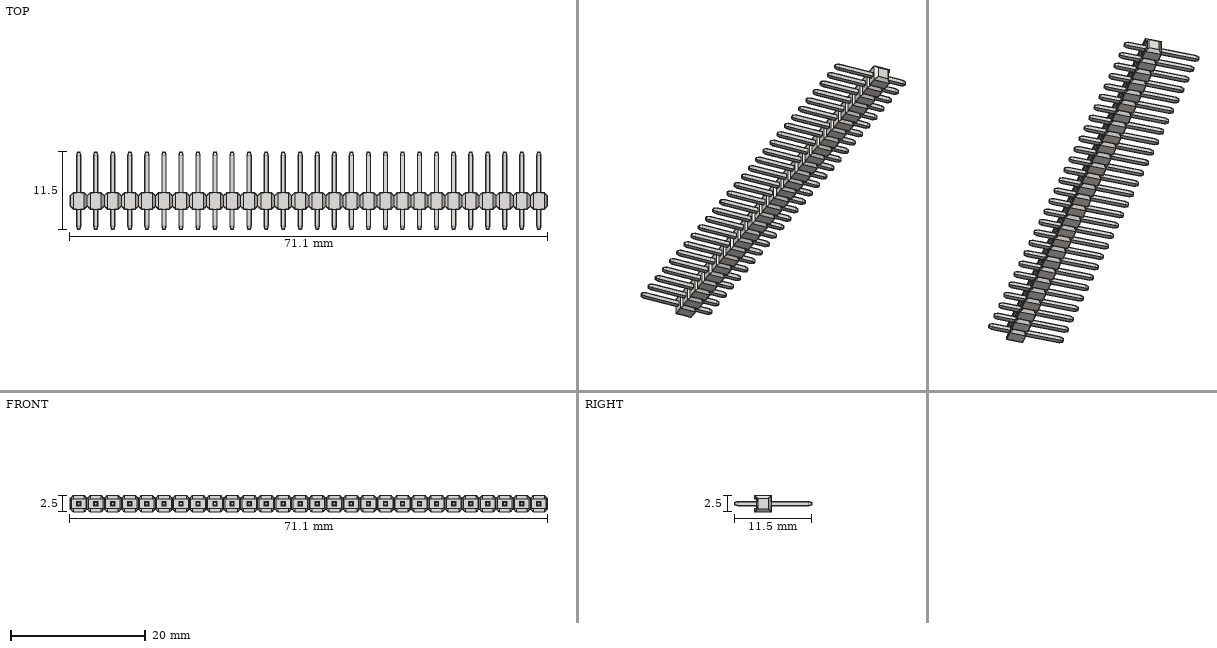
import cadquery as cq

pin_count = 28
row_length = 71.1
pitch = row_length / pin_count

body_height = 2.5
body_depth = 2.5
body_chamfer = 0.46

channel_depth = 0.3
rail_height = 0.53

pin_width = 0.65
short_pin = 3.0
total_depth = 11.5
tip_length = 0.485
tip_width = 0.39

pin_front = -total_depth / 2
pin_back = total_depth / 2
body_front = pin_front + short_pin


def make_block():
    """One insulator block centred on X = 0, with the channel cut in its -Y face."""
    block = (
        cq.Workplane("XY")
        .box(pitch, body_depth, body_height)
        .edges("|Y or |Z")
        .chamfer(body_chamfer)
        .translate((0, body_front + body_depth / 2, 0))
    )
    channel = (
        cq.Workplane("XY")
        .box(pitch, 2 * channel_depth, body_height - 2 * rail_height)
        .translate((0, body_front, 0))
    )
    return block.cut(channel)


def make_tip(start, end):
    """Tapered pin end running along Y from full section at start to the small end."""
    length = end - start
    direction = 1 if length > 0 else -1
    plane = cq.Plane(origin=(0, start, 0), xDir=(1, 0, 0), normal=(0, direction, 0))
    return (
        cq.Workplane(plane)
        .rect(pin_width, pin_width)
        .workplane(offset=abs(length))
        .rect(tip_width, tip_width)
        .loft(ruled=True)
    )


def make_pin():
    """Square pin with both ends tapered."""
    shank = cq.Workplane("XY").box(pin_width, total_depth - 2 * tip_length, pin_width)
    front_tip = make_tip(pin_front + tip_length, pin_front)
    back_tip = make_tip(pin_back - tip_length, pin_back)
    return shank.union(front_tip).union(back_tip)


unit = make_block().union(make_pin()).val()
first_x = -(row_length - pitch) / 2
units = [unit.translate(cq.Vector(first_x + i * pitch, 0, 0)) for i in range(pin_count)]
result = cq.Workplane("XY").newObject([units[0].fuse(*units[1:]).clean()])